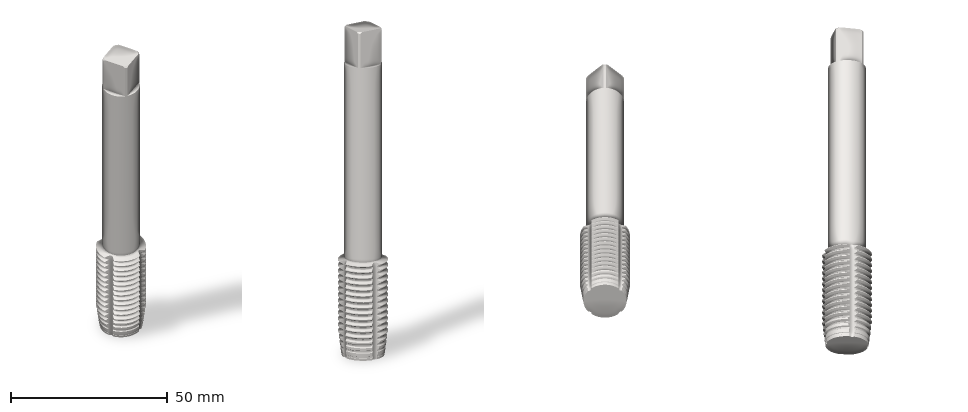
import cadquery as cq
import math

total_length = 110.0

shank_diameter = 12.0
square_width = 9.0
square_length = 12.0
end_chamfer = 0.4

collar_height = 0.8

major_diameter = 16.0
head_length = 32.0
ridge_count = 16
pitch = head_length / ridge_count
thread_half_angle = 30.0
crest_flat = pitch / 8
root_flat = pitch / 4
ridge_depth = (pitch - crest_flat - root_flat) / 2 / math.tan(math.radians(thread_half_angle))

lead_length = 8.0

flute_count = 4
flute_floor_radius = 6.5
flute_round = 1.0
flute_half_angle = 45.0

shank_radius = shank_diameter / 2
major_radius = major_diameter / 2
minor_radius = major_radius - ridge_depth


def revolve_about_z(points):
    """Solid of revolution from a closed outline of (radius, height) points."""
    return cq.Workplane("XZ").polyline(points).close().revolve(360, (0, 0), (0, 1))


def make_flute():
    """Cutter for the flute on the +X side, running through the head and the collar."""
    angle = math.radians(flute_half_angle)
    tangent_x = flute_floor_radius + flute_round * (1 - math.sin(angle))
    tangent_y = flute_round * math.cos(angle)
    mouth_x = major_diameter
    mouth_y = tangent_y + (mouth_x - tangent_x) * math.tan(angle)
    return (
        cq.Workplane("XY")
        .moveTo(mouth_x, -mouth_y)
        .lineTo(tangent_x, -tangent_y)
        .threePointArc((flute_floor_radius, 0), (tangent_x, tangent_y))
        .lineTo(mouth_x, mouth_y)
        .close()
        .extrude(head_length + collar_height)
    )


def cut_flutes(body):
    """Cut the evenly spaced flutes into a body."""
    flute = make_flute()
    for index in range(flute_count):
        turn = index * 360 / flute_count
        body = body.cut(flute.rotate((0, 0, 0), (0, 0, 1), turn))
    return body


def make_drive_waste():
    """Material around the square drive at the upper end of the shank."""
    return (
        cq.Workplane("XY", origin=(0, 0, total_length - square_length))
        .rect(2 * shank_diameter, 2 * shank_diameter)
        .rect(square_width, square_width)
        .extrude(square_length)
    )


def make_shank():
    """Round shank with a fluted conical collar below and a square drive above."""
    turned = revolve_about_z([
        (0, head_length),
        (major_radius, head_length),
        (shank_radius, head_length + collar_height),
        (shank_radius, total_length - end_chamfer),
        (shank_radius - end_chamfer, total_length),
        (0, total_length),
    ])
    return cut_flutes(turned.cut(make_drive_waste()))


def make_ridged_blank():
    """Revolved blank with one ridge per pitch; the lowest and highest are half ridges."""
    half_crest = crest_flat / 2
    half_root = root_flat / 2
    points = [(0, 0), (major_radius, 0)]
    for ridge in range(ridge_count):
        crest_height = ridge * pitch
        root_height = crest_height + pitch / 2
        points += [
            (major_radius, crest_height + half_crest),
            (minor_radius, root_height - half_root),
            (minor_radius, root_height + half_root),
            (major_radius, crest_height + pitch - half_crest),
        ]
    points += [(major_radius, head_length), (0, head_length)]
    return revolve_about_z(points)


def make_head_envelope():
    """Outer limit of the head: a tapered lead below a cylinder."""
    return revolve_about_z([
        (0, 0),
        (minor_radius, 0),
        (major_radius, lead_length),
        (major_radius, head_length),
        (0, head_length),
    ])


def make_head():
    """Fluted cutting head with stacked thread ridges."""
    return cut_flutes(make_ridged_blank().intersect(make_head_envelope()))


shank = make_shank()
head = make_head()

result = cq.Compound.makeCompound([shank.val(), head.val()])